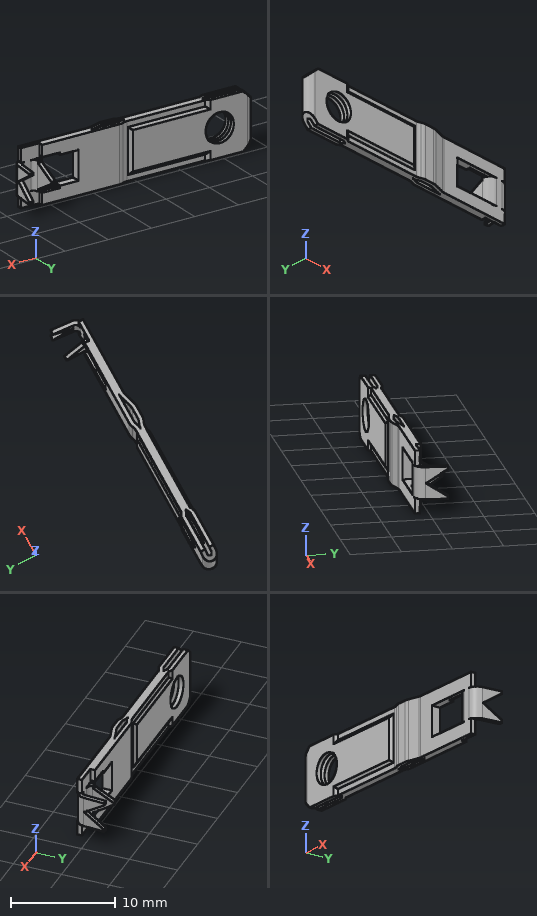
import cadquery as cq
import math

length = 27.32
depth = 3.6
height = 6.35

sheet = 0.5
leaf_gap = 0.46
stack = 2 * sheet + leaf_gap
mid_y = stack / 2
half_gap = leaf_gap / 2
end_chamfer = 1.15

opening = 3.22
hole_x = 3.9
window_left = 20.2
point_tab_root = 25.38
clearance_left = 22.32
clearance_margin = 0.25
clearance_height = opening + 2 * clearance_margin

front_leaf_end = 26.5
back_leaf_end = 24.4

ramp_start = 5.0
ramp_run = 0.45
s_bend_start = 14.48
s_bend_run = 0.5
offset_start = 16.53
offset_first_run = 0.4
offset_straight = 1.23
offset_last_run = 0.2

pad_end = 13.93
pad_height = 4.37
pad_slope_x = 0.38
pad_slope_z = 0.33

bend_inner = 0.5
bend_outer = bend_inner + sheet
tab_flare = math.radians(5)
point_tab_top = 3.52
tooth_root_y = leaf_gap + bend_outer
point_tip_width = 0.2
prong_tip_width = 0.22
tooth_root_width = opening - 2 * prong_tip_width

RAMP_IN = (ramp_start, 0, ramp_run, 0, half_gap)
S_BEND_OUT = (s_bend_start, s_bend_run, 0, s_bend_run, -half_gap)
OFFSET_IN = (offset_start, offset_first_run, offset_straight, offset_last_run, leaf_gap)


def joggle_points(joggle, y):
    """Corner points of one joggle that leaves level y."""
    start, first, straight, last, rise = joggle
    slope = rise / ((first + last) / 2 + straight)
    return [
        (start, y),
        (start + first, y + slope * first / 2),
        (start + first + straight, y + rise - slope * last / 2),
        (start + first + straight + last, y + rise),
    ]


def draw_joggle(outline, joggle, points):
    """Add a joggle, given its points in drawing order, as arc, line and arc."""
    _, first, straight, last, _ = joggle
    runs = (first, last) if points[0][0] < points[-1][0] else (last, first)
    outline = outline.lineTo(*points[0])
    if runs[0]:
        outline = outline.tangentArcPoint(points[1], relative=False)
    if straight:
        outline = outline.lineTo(*points[2])
    if runs[1]:
        outline = outline.tangentArcPoint(points[3], relative=False)
    return outline


def make_leaf(joggles, end_x):
    """Front-side leaf of constant thickness, from the fold to end_x."""
    outline = cq.Workplane("XY").moveTo(mid_y, 0)
    y = 0
    paths = []
    for joggle in joggles:
        points = joggle_points(joggle, y)
        paths.append((joggle, points))
        outline = draw_joggle(outline, joggle, points)
        y = points[-1][1]
    outline = outline.lineTo(end_x, y).lineTo(end_x, y + sheet)
    for joggle, points in reversed(paths):
        inner_points = [(px, py + sheet) for px, py in reversed(points)]
        outline = draw_joggle(outline, joggle, inner_points)
    leaf = outline.lineTo(mid_y, sheet).close().extrude(height / 2, both=True)
    return leaf.union(pad_block(0)).cut(pad_block(sheet))


def pad_block(y):
    """Sloped block one half-gap deep whose small face lies at level y."""
    top_z = pad_height / 2
    base_z = top_z + pad_slope_z
    base_y = y + half_gap
    side = [(ramp_start, y), (pad_end, y), (pad_end + pad_slope_x, base_y), (ramp_start, base_y)]
    section = [(y, -top_z), (y, top_z), (base_y, base_z), (base_y, -base_z)]
    long_block = cq.Workplane("YZ").polyline(section).close().extrude(length)
    return cq.Workplane("XY").polyline(side).close().extrude(height / 2, both=True).intersect(long_block)


def box_between(x0, x1, y0, y1, tall):
    """Box spanning two X and two Y positions, centred in Z."""
    return cq.Workplane("XY").box(x1 - x0, y1 - y0, tall).translate(((x0 + x1) / 2, (y0 + y1) / 2, 0))


def make_fold():
    """U-bend joining the leaves."""
    ring = cq.Workplane("XY").center(mid_y, mid_y).circle(mid_y).circle(half_gap)
    return ring.extrude(height / 2, both=True).intersect(box_between(0, mid_y, 0, stack, height))


def tab_leg(top):
    """Straight length of a tab whose inner end corner reaches Y = top."""
    return (top - tooth_root_y + bend_inner * math.sin(tab_flare)) / math.cos(tab_flare)


def make_bent_strip(root_x, direction, top):
    """Strip curling from the front leaf at root_x toward +Y, leaning to +X or -X."""
    leg = tab_leg(top)

    def on_bend(radius, angle, along=0):
        x = radius * math.cos(angle) + along * math.sin(tab_flare)
        y = -radius * math.sin(angle) + along * math.cos(tab_flare)
        return root_x + direction * x, tooth_root_y + y

    start = math.pi / 2
    middle = (start + tab_flare) / 2
    profile = (
        cq.Workplane("XY")
        .moveTo(*on_bend(bend_outer, start))
        .threePointArc(on_bend(bend_outer, middle), on_bend(bend_outer, tab_flare))
        .lineTo(*on_bend(bend_outer, tab_flare, leg))
        .lineTo(*on_bend(bend_inner, tab_flare, leg))
        .lineTo(*on_bend(bend_inner, tab_flare))
        .threePointArc(on_bend(bend_inner, middle), on_bend(bend_inner, start))
        .close()
    )
    return profile.extrude(opening / 2, both=True)


def make_point_tab():
    """Tab at the window, shouldered and tapering to a single point."""
    half_strip = opening / 2
    half_root = tooth_root_width / 2
    half_tip = point_tip_width / 2
    outline = [
        (0, -half_strip), (tooth_root_y, -half_strip), (tooth_root_y, -half_root), (point_tab_top, -half_tip),
        (point_tab_top, half_tip), (tooth_root_y, half_root), (tooth_root_y, half_strip), (0, half_strip),
    ]
    taper = cq.Workplane("YZ").polyline(outline).close().extrude(length)
    return make_bent_strip(point_tab_root, -1, point_tab_top).intersect(taper)


end_tab_reach = bend_outer * math.cos(tab_flare) + tab_leg(depth) * math.sin(tab_flare)
end_tab_root = length - end_tab_reach


def make_prong_tab():
    """Tab at the right end, notched into two prongs."""
    half_mouth = tooth_root_width / 2
    notch_points = [(depth, -half_mouth), (depth, half_mouth), (tooth_root_y, 0)]
    notch = cq.Workplane("YZ").polyline(notch_points).close().extrude(2 * length)
    return make_bent_strip(end_tab_root, 1, depth).cut(notch)


front_leaf = make_leaf([RAMP_IN, S_BEND_OUT, OFFSET_IN], front_leaf_end)
front_leaf = front_leaf.cut(box_between(end_tab_root, length, 0, stack, opening))

back_leaf = make_leaf([RAMP_IN, S_BEND_OUT], back_leaf_end).mirror("XZ").translate((0, stack, 0))
back_leaf = back_leaf.cut(box_between(clearance_left, length, mid_y, depth, clearance_height))

body = front_leaf.union(back_leaf).union(make_fold())

for side in (-1, 1):
    corner = [
        (0, side * height / 2),
        (end_chamfer, side * height / 2),
        (0, side * (height / 2 - end_chamfer)),
    ]
    body = body.cut(cq.Workplane("XZ").polyline(corner).close().extrude(-depth))

body = body.cut(cq.Workplane("XZ").center(hole_x, 0).circle(opening / 2).extrude(-depth))
body = body.cut(box_between(window_left, point_tab_root, 0, depth, opening))

result = body.union(make_point_tab()).union(make_prong_tab())